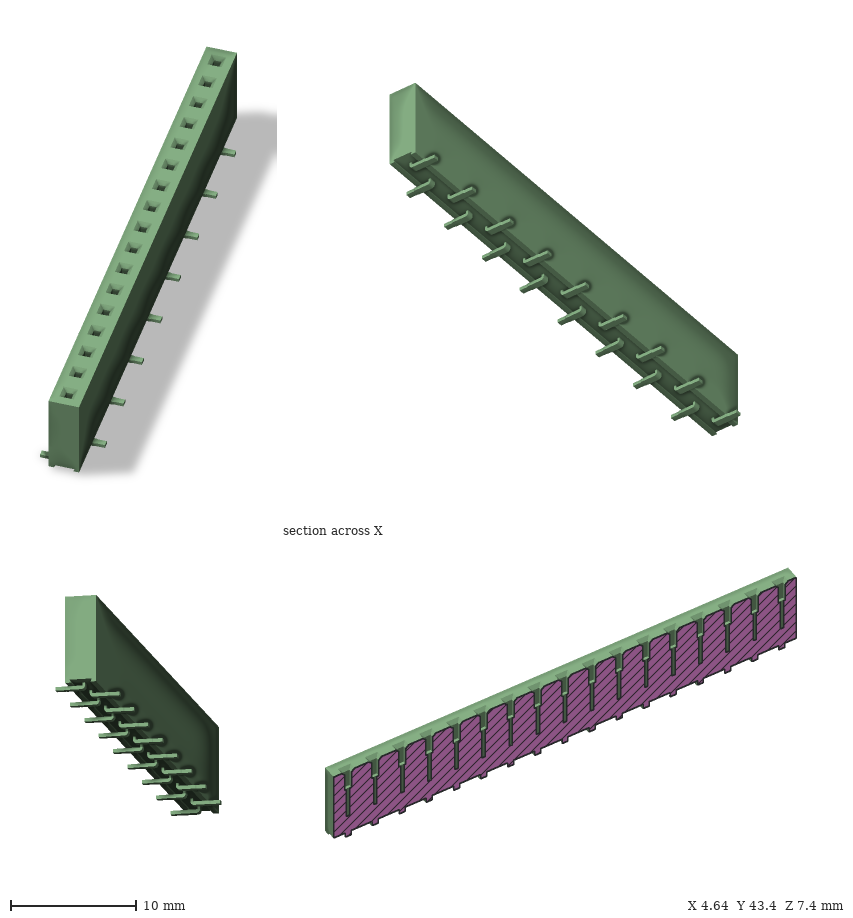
import cadquery as cq
import math

pin_count = 17
pitch = 2.54
end_margin = 0.1
body_width = 2.54
body_length = pin_count * pitch + 2 * end_margin
total_height = 7.4

channel_width_bottom = 1.6
channel_width_top = 1.8
channel_depth = 0.25

funnel_width = 1.2
socket_width = 0.6
funnel_depth = 0.3
slot_bottom_depth = 5.0
slot_width = 0.15
slot_length = 0.27
socket_depth = 2.0

lead_thickness = 0.3
lead_span = 4.64
lead_root_width = 0.6
lead_tip_width = 0.5
taper_start = 1.45
taper_end = 1.55
post_thickness = 0.2
bend_radius = 0.3
post_embedding = 0.2

body_bottom = lead_thickness
channel_top = body_bottom + channel_depth
post_top = channel_top + post_embedding


def pin_y(index):
    """Y position of a contact, counted from the +Y end."""
    return ((pin_count - 1) / 2 - index) * pitch


def make_body():
    """Rectangular housing with a tapered channel along its underside."""
    body = cq.Workplane("XY").workplane(offset=body_bottom).rect(body_width, body_length)
    body = body.extrude(total_height - body_bottom)
    channel_outline = [
        (-channel_width_bottom / 2, body_bottom),
        (-channel_width_top / 2, channel_top),
        (channel_width_top / 2, channel_top),
        (channel_width_bottom / 2, body_bottom),
    ]
    channel = cq.Workplane("XZ").polyline(channel_outline).close()
    return body.cut(channel.extrude(body_length / 2, both=True))


def make_socket():
    """Cutting tool for one socket, centred on the origin in X and Y."""
    top_plane = cq.Workplane("XY").workplane(offset=total_height)
    hole = top_plane.rect(socket_width, socket_width).extrude(-socket_depth)
    slot = top_plane.rect(slot_width, slot_length).extrude(-slot_bottom_depth)
    funnel = top_plane.rect(funnel_width, funnel_width)
    funnel = funnel.workplane(offset=-funnel_depth).rect(socket_width, socket_width).loft(ruled=True)
    return hole.union(slot).union(funnel)


def make_lead_plan(side):
    """Plan prism of a contact: full width at the root, tapering to a narrower tip."""
    root = -side * bend_radius
    tip = side * lead_span / 2
    return (
        cq.Workplane("XY")
        .moveTo(root, -lead_root_width / 2)
        .lineTo(side * taper_start, -lead_root_width / 2)
        .lineTo(side * taper_end, -lead_tip_width / 2)
        .lineTo(tip, -lead_tip_width / 2)
        .lineTo(tip, lead_tip_width / 2)
        .lineTo(side * taper_end, lead_tip_width / 2)
        .lineTo(side * taper_start, lead_root_width / 2)
        .lineTo(root, lead_root_width / 2)
        .close()
        .extrude(post_top)
    )


def make_contact(side):
    """L-bent contact: post up into the housing, lead pointing to -X (side = -1) or +X (side = 1)."""
    outer_face = -side * post_thickness / 2
    inner_face = side * post_thickness / 2
    tip = side * lead_span / 2
    bend_middle = bend_radius * (1 - math.sqrt(0.5))
    outline = (
        cq.Workplane("XZ")
        .moveTo(outer_face, post_top)
        .lineTo(outer_face, bend_radius)
        .threePointArc(
            (outer_face + side * bend_middle, bend_middle),
            (outer_face + side * bend_radius, 0),
        )
        .lineTo(tip, 0)
        .lineTo(tip, lead_thickness)
        .lineTo(inner_face, lead_thickness)
        .lineTo(inner_face, post_top)
        .close()
    )
    strip = outline.extrude(lead_root_width / 2, both=True)
    return strip.intersect(make_lead_plan(side))


result = make_body()
socket = make_socket()
for index in range(pin_count):
    result = result.cut(socket.translate((0, pin_y(index), 0)))

for index in range(pin_count):
    side = -1 if index % 2 == 0 else 1
    result = result.union(make_contact(side).translate((0, pin_y(index), 0)))